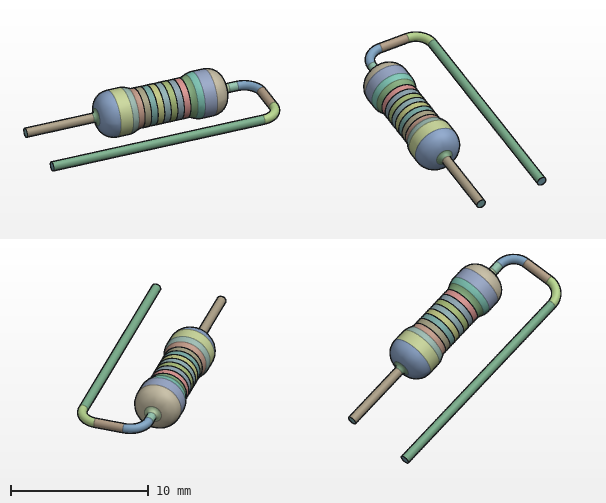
import cadquery as cq
import math

total_length = 18.35
wire_diameter = 0.7
total_width = 7.1
bend_radius = 1.4

body_center_y = 10.59
cap_diameter = 3.5
waist_diameter = 2.97
band_diameter = 3.0
section_count = 7
section_length = 0.51
cap_length = 0.97
dome_radius = 1.21
neck_fillet = 0.33

wire_radius = wire_diameter / 2
cap_radius = cap_diameter / 2
waist_radius = waist_diameter / 2
waist_half = section_count * section_length / 2
lead_spacing = total_width - cap_radius - wire_radius

cap_start = waist_half + 2 * section_length
cap_end = cap_start + cap_length

shoulder_angle = 2 * math.atan((cap_radius - waist_radius) / 2 / section_length)
shoulder_radius = section_length / math.sin(shoulder_angle)

dome_center_x = cap_radius - dome_radius
fillet_center_x = wire_radius + neck_fillet
center_distance = dome_radius + neck_fillet
dome_angle = math.acos((fillet_center_x - dome_center_x) / center_distance)
neck_end = cap_end + center_distance * math.sin(dome_angle)


def polar(center_x, center_y, radius, angle):
    """Point on a circle at an angle in radians."""
    return (center_x + radius * math.cos(angle), center_y + radius * math.sin(angle))


def make_end():
    """Body end at +Y: S-shaped shoulder, cap, dome and neck."""
    shoulder_middle = ((waist_radius + cap_radius) / 2, waist_half + section_length)
    shoulder_center_x = waist_radius + shoulder_radius
    shoulder_lower_angle = math.pi - shoulder_angle / 2
    shoulder_lower = polar(shoulder_center_x, waist_half, shoulder_radius, shoulder_lower_angle)
    dome_middle = polar(dome_center_x, cap_end, dome_radius, dome_angle / 2)
    dome_top = polar(dome_center_x, cap_end, dome_radius, dome_angle)
    fillet_middle_angle = math.pi + dome_angle / 2
    fillet_middle = polar(fillet_center_x, neck_end, neck_fillet, fillet_middle_angle)
    profile = (
        cq.Workplane("XY")
        .moveTo(0, waist_half)
        .lineTo(waist_radius, waist_half)
        .threePointArc(shoulder_lower, shoulder_middle)
        .tangentArcPoint((cap_radius, cap_start), relative=False)
        .lineTo(cap_radius, cap_end)
        .threePointArc(dome_middle, dome_top)
        .threePointArc(fillet_middle, (wire_radius, neck_end))
        .lineTo(0, neck_end)
        .close()
    )
    return profile.revolve(360, (0, 0, 0), (0, 1, 0))


def make_section(start_y, diameter):
    """Cylindrical waist section: a raised band or a plain gap."""
    return (
        cq.Workplane("XZ", origin=(0, start_y, 0))
        .circle(diameter / 2)
        .extrude(-section_length)
    )


def make_body():
    """Symmetrical body with raised bands alternating with plain gaps."""
    end = make_end()
    body = end.union(end.mirror("XZ"))
    for index in range(section_count):
        diameter = band_diameter if index % 2 == 0 else waist_diameter
        body = body.union(make_section(-waist_half + index * section_length, diameter))
    return body.translate((0, body_center_y, 0))


def make_lead():
    """Wire through the body, bent back to run parallel to it."""
    top_y = total_length - wire_radius
    bend_start_y = top_y - bend_radius
    path = (
        cq.Workplane("XY")
        .lineTo(0, bend_start_y)
        .tangentArcPoint((bend_radius, top_y), relative=False)
        .lineTo(lead_spacing - bend_radius, top_y)
        .tangentArcPoint((lead_spacing, bend_start_y), relative=False)
        .lineTo(lead_spacing, 0)
    )
    return cq.Workplane("XZ").circle(wire_radius).sweep(path)


result = make_body().union(make_lead())